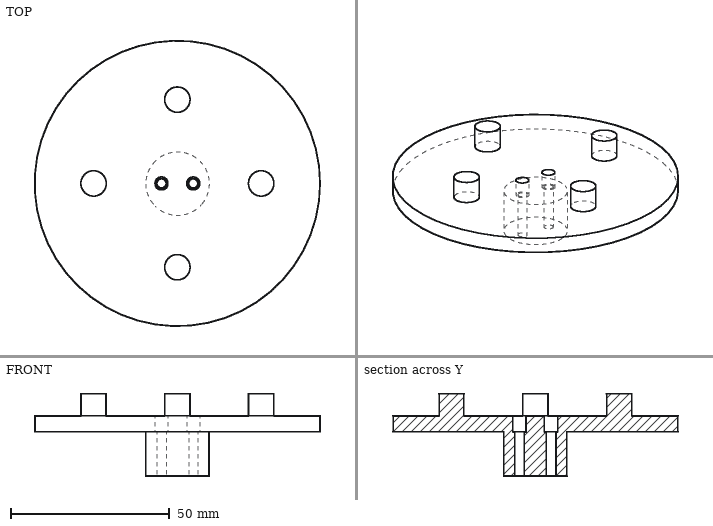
import cadquery as cq

plate_diameter = 90.0
plate_thickness = 5.0

hub_diameter = 20.0
hub_length = 14.0

pin_diameter = 8.0
pin_height = 7.0
pin_circle_radius = 26.4
pin_count = 4

hole_spacing = 10.0
hole_diameter = 2.9
hole_wide_diameter = 4.1
hole_wide_depth = plate_thickness


def make_plate():
    """Round plate with its underside at Z = 0."""
    return cq.Workplane("XY").circle(plate_diameter / 2).extrude(plate_thickness)


def make_hub():
    """Central hub hanging below the plate."""
    return cq.Workplane("XY").circle(hub_diameter / 2).extrude(-hub_length)


def make_pins():
    """Pins evenly spaced on a circle, standing on the plate."""
    return (
        cq.Workplane("XY")
        .workplane(offset=plate_thickness)
        .polarArray(pin_circle_radius, 0, 360, pin_count)
        .circle(pin_diameter / 2)
        .extrude(pin_height)
    )


def cut_screw_holes(body):
    """Two through holes along X, wider through the plate than through the hub."""
    return (
        body.copyWorkplane(cq.Workplane("XY", origin=(0, 0, plate_thickness)))
        .rarray(hole_spacing, 1, 2, 1)
        .cboreHole(hole_diameter, hole_wide_diameter, hole_wide_depth)
    )


body = make_plate().union(make_hub()).union(make_pins())
result = cut_screw_holes(body)